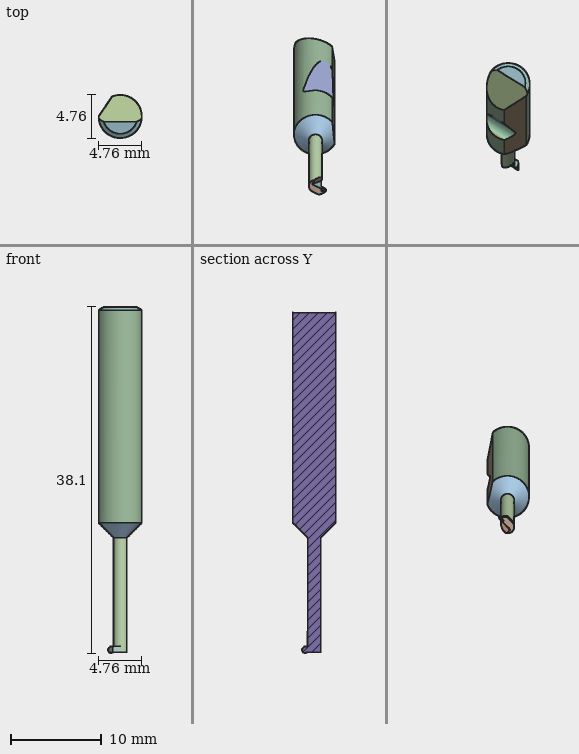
import math

import cadquery as cq

TOTAL_HEIGHT = 38.09

SHANK_RADIUS = 2.38
NECK_RADIUS = 0.74
NECK_BOTTOM = 0.09
NECK_TOP = 12.7
CONE_TOP = NECK_TOP + SHANK_RADIUS - NECK_RADIUS
TOP_CHAMFER_WIDTH = 0.48
TOP_CHAMFER_HEIGHT = 0.36

FLAT_DISTANCE = 1.98
FLAT_ANGLE = 146.0

BEVEL_EDGE_Y = -0.6

NOTCH_BOTTOM = 21.1
NOTCH_TOP = 29.8
NOTCH_SLOPE = math.radians(9.7)
NOTCH_FILLET = 1.0

RELIEF_HEIGHT = 2.28
RELIEF_LEAN = math.radians(27.5)

FACE_Y = 0.02
TOOTH_TOP = 0.77
TOOTH_REACH = 1.35
TOOTH_BACK_REACH = 0.84
TOOTH_END_BULGE = 0.03
TOOTH_TOP_DROP = 0.03
TOOTH_TOP_CHAMFER = 0.28
NOSE_RADIUS = 0.38
LIP_START_X = -0.8
LIP_CLEARANCE_DEPTH = 0.2

CUT_MARGIN = 1.0


def make_turned_body():
    """Shank, cone and neck as one revolved profile."""
    return (
        cq.Workplane("XZ")
        .moveTo(0, NECK_BOTTOM)
        .lineTo(-NECK_RADIUS, NECK_BOTTOM)
        .lineTo(-NECK_RADIUS, NECK_TOP)
        .lineTo(-SHANK_RADIUS, CONE_TOP)
        .lineTo(-SHANK_RADIUS, TOTAL_HEIGHT - TOP_CHAMFER_HEIGHT)
        .lineTo(-SHANK_RADIUS + TOP_CHAMFER_WIDTH, TOTAL_HEIGHT)
        .lineTo(0, TOTAL_HEIGHT)
        .close()
        .revolve(360, (0, 0, 0), (0, 1, 0))
    )


def make_flat_cut():
    """Block that leaves the long flat on the shank."""
    depth = SHANK_RADIUS - FLAT_DISTANCE + CUT_MARGIN
    return (
        cq.Workplane("XY")
        .box(depth, 2 * SHANK_RADIUS, TOTAL_HEIGHT + CUT_MARGIN, centered=(False, True, False))
        .translate((FLAT_DISTANCE, 0, 0))
        .rotate((0, 0, 0), (0, 0, 1), FLAT_ANGLE)
    )


def extrude_across_shank(profile):
    """Extrude a YZ profile along X through the full shank width."""
    return profile.extrude(SHANK_RADIUS + CUT_MARGIN, both=True)


def make_bevel_cut():
    """Wedge above the 45 degree end bevel."""
    outer_y = SHANK_RADIUS + CUT_MARGIN
    profile = cq.Workplane("YZ").polyline([
        (BEVEL_EDGE_Y, TOTAL_HEIGHT),
        (outer_y, TOTAL_HEIGHT - (outer_y - BEVEL_EDGE_Y)),
        (outer_y, TOTAL_HEIGHT),
    ]).close()
    return extrude_across_shank(profile)


def make_notch_cut():
    """Clamping notch: level floor, sloped side and a fillet between them."""
    outer_y = SHANK_RADIUS + CUT_MARGIN
    floor_y = SHANK_RADIUS - (NOTCH_TOP - NOTCH_BOTTOM) * math.tan(NOTCH_SLOPE)
    profile = cq.Workplane("YZ").polyline([
        (outer_y, NOTCH_BOTTOM),
        (floor_y, NOTCH_BOTTOM),
        (outer_y, NOTCH_TOP + CUT_MARGIN / math.tan(NOTCH_SLOPE)),
    ]).close()
    return extrude_across_shank(profile).edges("|X and <Y").fillet(NOTCH_FILLET)


def make_relief_cut():
    """Leaning wedge that opens the neck in front of the cutting face."""
    start_z = NECK_BOTTOM + RELIEF_HEIGHT
    foot_x = -NECK_RADIUS + start_z * math.tan(RELIEF_LEAN)
    outer_x = -NECK_RADIUS - CUT_MARGIN
    return (
        cq.Workplane("XZ")
        .polyline([(-NECK_RADIUS, start_z), (foot_x, 0), (outer_x, 0), (outer_x, start_z)])
        .close()
        .extrude(-NECK_RADIUS)
        .translate((0, FACE_Y, 0))
    )


def make_tooth():
    """Tooth with a chamfered and rounded nose, a slanted end and clearance under its lip."""
    nose_x = -TOOTH_REACH
    tip_x = nose_x + NOSE_RADIUS
    nose_inset = NOSE_RADIUS * (1 - math.sqrt(0.5))
    top_edge_z = TOOTH_TOP - TOOTH_TOP_DROP
    blade = (
        cq.Workplane("XZ", origin=(0, FACE_Y, 0))
        .moveTo(0, NECK_BOTTOM)
        .lineTo(LIP_START_X, NECK_BOTTOM)
        .lineTo(tip_x, 0)
        .threePointArc((nose_x + nose_inset, nose_inset), (nose_x, NOSE_RADIUS))
        .lineTo(nose_x, top_edge_z - TOOTH_TOP_CHAMFER)
        .lineTo(nose_x + TOOTH_TOP_CHAMFER, top_edge_z)
        .lineTo(0, TOOTH_TOP)
        .close()
        .extrude(FACE_Y + NECK_RADIUS)
    )
    end_run_x = TOOTH_REACH - TOOTH_BACK_REACH
    end_run_y = FACE_Y + NECK_RADIUS
    end_length = math.hypot(end_run_x, end_run_y)
    end_middle = (
        nose_x + end_run_x / 2 - TOOTH_END_BULGE * end_run_y / end_length,
        FACE_Y - end_run_y / 2 - TOOTH_END_BULGE * end_run_x / end_length,
    )
    plan = (
        cq.Workplane("XY")
        .moveTo(0, FACE_Y)
        .lineTo(nose_x, FACE_Y)
        .threePointArc(end_middle, (-TOOTH_BACK_REACH, -NECK_RADIUS))
        .lineTo(0, -NECK_RADIUS)
        .close()
        .extrude(TOOTH_TOP)
    )
    lip_clearance = (
        cq.Workplane("YZ")
        .moveTo(FACE_Y, 0)
        .lineTo(FACE_Y - LIP_CLEARANCE_DEPTH, NECK_BOTTOM)
        .lineTo(-NECK_RADIUS, NECK_BOTTOM)
        .lineTo(-NECK_RADIUS, 0)
        .close()
        .extrude(-TOOTH_REACH)
    )
    return blade.intersect(plan).cut(lip_clearance)


result = (
    make_turned_body()
    .cut(make_flat_cut())
    .cut(make_bevel_cut())
    .cut(make_notch_cut())
    .cut(make_relief_cut())
    .union(make_tooth())
)